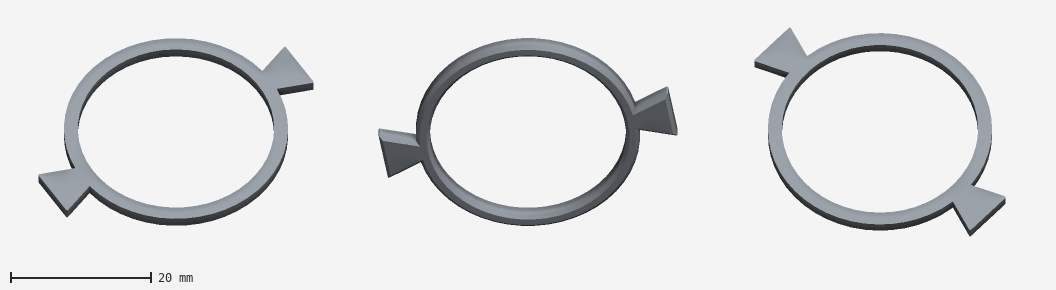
import cadquery as cq

overall_length = 42.0
ring_outer_diameter = 32.0
ring_inner_diameter = 28.0
thickness = 2.2
tab_tip_width = 7.73
tab_root_width = 3.8
tab_root_y = 15.88
chamfer_size = 0.5
tab_corner_radius = 0.15


def tab(side):
    """Dovetail tab widening outward; side is +1 for +Y and -1 for -Y."""
    tip_y = side * overall_length / 2
    root_y = side * tab_root_y
    neck_y = side * (ring_inner_diameter + ring_outer_diameter) / 4
    outline = [
        (-tab_root_width / 2, neck_y),
        (-tab_root_width / 2, root_y),
        (-tab_tip_width / 2, tip_y),
        (tab_tip_width / 2, tip_y),
        (tab_root_width / 2, root_y),
        (tab_root_width / 2, neck_y),
    ]
    return cq.Workplane("XY").polyline(outline).close().extrude(thickness)


def add_tabs(disc, tab_corner=0.0):
    """Join both tabs to a disc, rounding their upright tip corners if asked."""
    for side in (1, -1):
        new_tab = tab(side)
        if tab_corner > 0:
            tip_face = ">Y" if side > 0 else "<Y"
            new_tab = new_tab.faces(tip_face).edges("|Z").fillet(tab_corner)
        disc = disc.union(new_tab)
    return disc


disc = cq.Workplane("XY").circle(ring_outer_diameter / 2).extrude(thickness)

chamfered_body = add_tabs(disc).faces("<Z").edges().chamfer(chamfer_size)

body = chamfered_body.intersect(add_tabs(disc, tab_corner_radius))

bore = cq.Workplane("XY").circle(ring_inner_diameter / 2).extrude(thickness)
bore_flare = (
    cq.Workplane("XY")
    .circle(ring_inner_diameter / 2 + chamfer_size)
    .extrude(chamfer_size, taper=45)
)
result = body.cut(bore).cut(bore_flare)